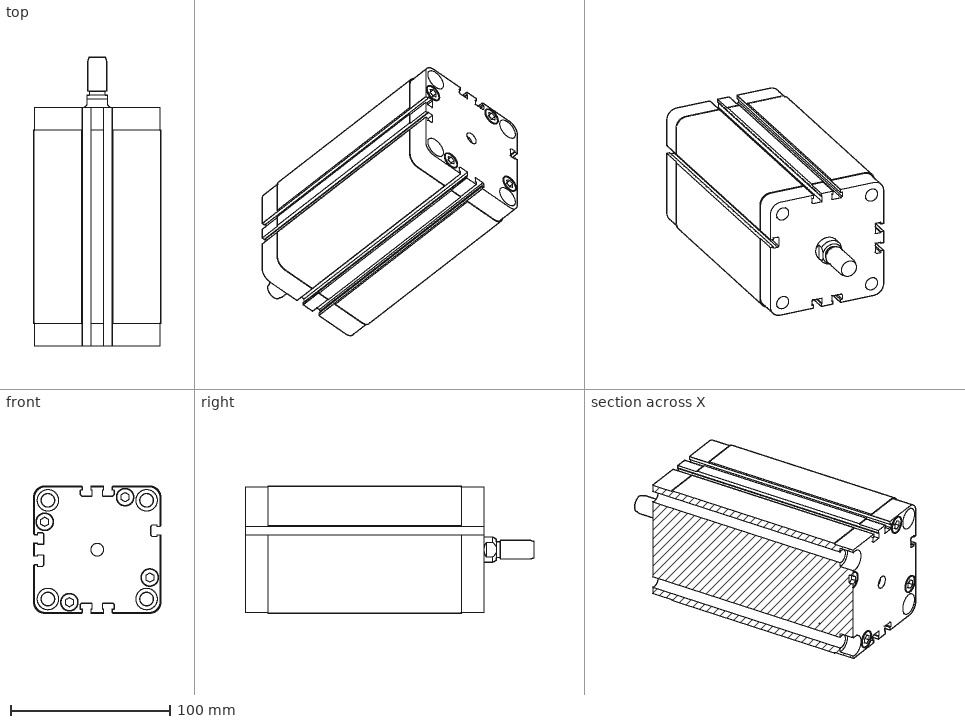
import cadquery as cq
import math


tube_width = 80.0
cap_inset = 0.5
cap_width = tube_width - 2 * cap_inset
corner_radius = 7.0
body_length = 150.0
cap_length = 14.25

neck_width = 5.3
neck_depth = 2.6
pocket_width = 7.1
slot_depth = 6.3
pocket_chamfer = 0.75
lip_chamfer = 0.6
tab_width = 8.1
pair_overhang = 0.6
single_overhang = 0.85
single_slot_offset = 11.9

mount_offset = 31.0
mount_bore = 8.38
mount_counterbore = 13.5
mount_counterbore_depth = 10.0

screw_near_offset = 17.5
screw_far_offset = 33.0
screw_head_diameter = 10.5
screw_recess_diameter = 11.1
screw_gap_depth = 0.5
hex_across_flats = 5.0
hex_depth = 3.0
socket_angle = 90.0

centre_hole_diameter = 8.0
centre_hole_depth = 3.5

total_length = 181.5
rod_diameter = 16.0
collar_length = 7.7
collar_end_diameter = 13.5
collar_chamfer_length = 2.3
wrench_flat_width = 13.0
flat_runout = (rod_diameter - wrench_flat_width) / 2
rod_neck_diameter = 10.0
rod_neck_length = 2.2
thread_diameter = 12.0
thread_runout = 0.5
tip_diameter = 10.5
tip_chamfer_length = 2.7


def disc(x, z, diameter, depth):
    """Cylinder along +Y starting on the front face."""
    return cq.Workplane("XZ").center(x, z).circle(diameter / 2).extrude(-depth)


def rounded_block(width, y_start, length):
    """Square bar along +Y with rounded long edges."""
    block = cq.Workplane("XZ", origin=(0, y_start, 0)).rect(width, width).extrude(-length)
    return block.edges("|Y").fillet(corner_radius)


def make_body():
    """Tube between two end caps that are slightly smaller."""
    tube_length = body_length - 2 * cap_length
    caps = rounded_block(cap_width, 0, body_length)
    return caps.union(rounded_block(tube_width, cap_length, tube_length))


def make_slot(tab_overhang, both_chamfered=False):
    """T-slot opening to +Z with its neck centred on X = 0 and its chamfered lip on the +X side.

    The +X bottom corner of the pocket is chamfered; the -X one only if both_chamfered is set.
    """
    surface = tube_width / 2
    step = surface - neck_depth
    bottom = surface - slot_depth
    half_neck = neck_width / 2
    pocket_start = -half_neck - tab_overhang
    pocket_end = pocket_start + pocket_width
    outline = (
        cq.Workplane("XZ")
        .moveTo(-half_neck, surface)
        .lineTo(-half_neck, step)
        .lineTo(pocket_start, step)
        .lineTo(pocket_start, bottom)
        .lineTo(pocket_end, bottom)
        .lineTo(pocket_end, step)
        .lineTo(half_neck, step)
        .lineTo(half_neck, surface - lip_chamfer)
        .lineTo(half_neck + lip_chamfer, surface)
        .close()
    )
    slot = outline.extrude(-body_length)
    chamfered_sides = (pocket_start, pocket_end) if both_chamfered else (pocket_end,)
    for x in chamfered_sides:
        corner = (x, body_length / 2, bottom)
        slot = slot.edges(cq.selectors.NearestToPointSelector(corner)).chamfer(pocket_chamfer)
    return slot


def cut_slots(body):
    """Mirrored slot pairs on the +Z, -Z and -X faces and a single slot on the +X face."""
    axis_start = (0, 0, 0)
    axis_end = (0, 1, 0)
    pair_offset = (tab_width + neck_width) / 2
    right_slot = make_slot(pair_overhang).translate((pair_offset, 0, 0))
    pair = right_slot.union(right_slot.mirror("YZ"))
    for face_angle in (0, 180, 270):
        body = body.cut(pair.rotate(axis_start, axis_end, face_angle))
    single_slot = make_slot(single_overhang, both_chamfered=True).mirror("YZ")
    single_slot = single_slot.translate((-single_slot_offset, 0, 0))
    return body.cut(single_slot.rotate(axis_start, axis_end, 90))


def cut_mounting_holes(body):
    """Through holes near the four corners, counterbored from the front face."""
    for x in (-mount_offset, mount_offset):
        for z in (-mount_offset, mount_offset):
            body = body.cut(disc(x, z, mount_bore, body_length))
            body = body.cut(disc(x, z, mount_counterbore, mount_counterbore_depth))
    return body


def cut_screw_details(body):
    """Clearance ring around each flush screw head, and its hexagon socket."""
    hex_across_corners = hex_across_flats / math.cos(math.pi / 6)
    centres = (
        (screw_near_offset, screw_far_offset),
        (screw_far_offset, -screw_near_offset),
        (-screw_near_offset, -screw_far_offset),
        (-screw_far_offset, screw_near_offset),
    )
    for x, z in centres:
        recess = disc(x, z, screw_recess_diameter, screw_gap_depth)
        head = disc(x, z, screw_head_diameter, screw_gap_depth)
        socket = (
            cq.Workplane("XZ")
            .polygon(6, hex_across_corners)
            .extrude(-hex_depth)
            .rotate((0, 0, 0), (0, 1, 0), socket_angle)
            .translate((x, 0, z))
        )
        body = body.cut(recess.cut(head)).cut(socket)
    return body


def make_rod():
    """Stepped rod with a threaded end and two wrench flats; it is rooted in the rear end cap."""
    collar_end = body_length + collar_length
    thread_start = collar_end + rod_neck_length
    profile = (
        cq.Workplane("XY")
        .moveTo(0, body_length - cap_length)
        .lineTo(rod_diameter / 2, body_length - cap_length)
        .lineTo(rod_diameter / 2, collar_end - collar_chamfer_length)
        .lineTo(collar_end_diameter / 2, collar_end)
        .lineTo(rod_neck_diameter / 2, collar_end)
        .lineTo(rod_neck_diameter / 2, thread_start)
        .lineTo(thread_diameter / 2, thread_start + thread_runout)
        .lineTo(thread_diameter / 2, total_length - tip_chamfer_length)
        .lineTo(tip_diameter / 2, total_length)
        .lineTo(0, total_length)
        .close()
    )
    rod = profile.revolve(360, (0, 0, 0), (0, 1, 0))
    half_flat = wrench_flat_width / 2
    for side in (-1, 1):
        flat = (
            cq.Workplane("XY")
            .moveTo(side * rod_diameter / 2, body_length)
            .lineTo(side * half_flat, body_length + flat_runout)
            .lineTo(side * half_flat, collar_end)
            .lineTo(side * rod_diameter / 2, collar_end)
            .close()
            .extrude(rod_diameter / 2, both=True)
        )
        rod = rod.cut(flat)
    return rod


body = cut_slots(make_body())
body = cut_mounting_holes(body)
body = cut_screw_details(body)
body = body.cut(disc(0, 0, centre_hole_diameter, centre_hole_depth))
result = body.union(make_rod())